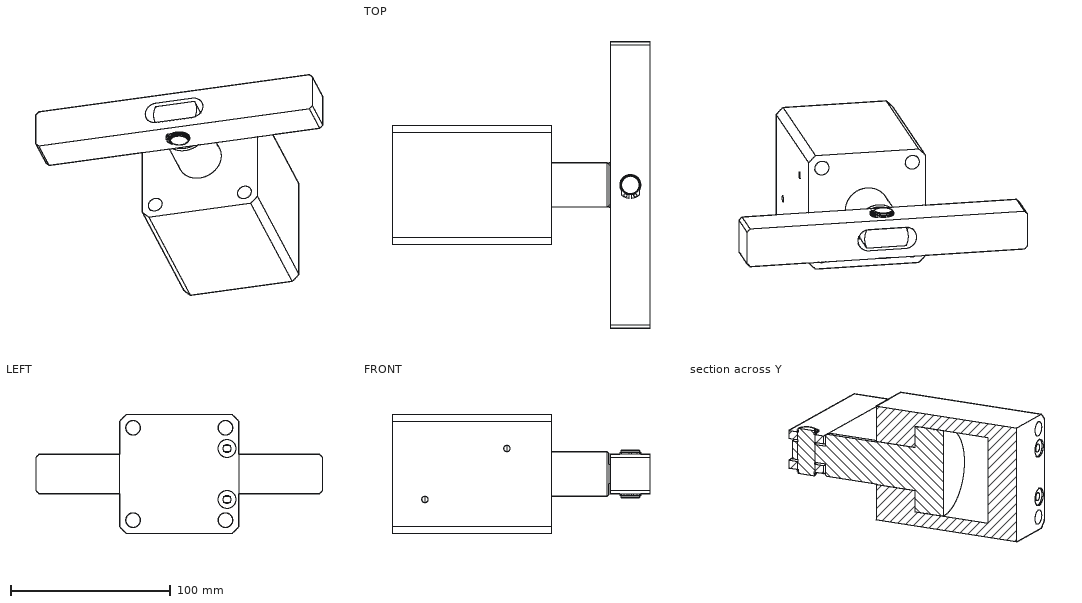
import cadquery as cq
import math

HOUSING_LENGTH = 100.0
HOUSING_SIZE = 75.0
HOUSING_CORNER_DIAMETER = 100.0
MOUNT_HOLE_DIAMETER = 9.0
MOUNT_HOLE_SPACING = 58.0
PORT_DIAMETER = 5.0
PORT_Y = -30.0
PORT_Z = 16.0
SPOTFACE_DIAMETER = 11.2
SPOTFACE_DEPTH = 1.0
SIDE_HOLE_DIAMETER = 4.0
SIDE_HOLE_DEPTH = 18.0
UPPER_SIDE_HOLE_X = 72.0
LOWER_SIDE_HOLE_X = 20.5

CHAMBER_DIAMETER = 56.0
CHAMBER_LENGTH = UPPER_SIDE_HOLE_X - LOWER_SIDE_HOLE_X

PISTON_LENGTH = 20.0
ROD_DIAMETER = 28.0
ROD_SHOULDER_X = 136.0
ROD_CHAMFER = 1.0
TONGUE_THICKNESS = 12.0
TONGUE_OVERHANG = 10.0

BAR_GAP = 1.0
BAR_SIZE = 25.0
BAR_LENGTH = 180.0
BAR_CHAMFER = 2.0
SLOT_LENGTH = 37.5
SLOT_HEIGHT = 14.0

PIN_DIAMETER = 12.0
PIN_LENGTH = 30.0
PIN_CHAMFER = 0.5
GROOVE_DIAMETER = 11.5
RING_THICKNESS = 1.0
RING_RADIUS = 6.6
RING_EAR_RADIUS = 8.4
RING_EAR_HALF_WIDTH = 5.6
RING_EAR_START = 3.3
RING_GAP = 1.7
RING_EYE_DIAMETER = 2.0
RING_EYE_X = 3.1
RING_EYE_DISTANCE = 7.2

BAR_X = ROD_SHOULDER_X + BAR_GAP
PIVOT_X = BAR_X + BAR_SIZE / 2
PISTON_X = UPPER_SIDE_HOLE_X - PISTON_LENGTH


def cylinder_x(diameter, start, length, y=0.0, z=0.0):
    """A cylinder along +X from the given start."""
    circle = cq.Workplane("YZ", origin=(start, y, z)).circle(diameter / 2)
    return circle.extrude(length)


def cylinder_z(diameter, bottom, height, x, y=0.0):
    """A cylinder along +Z from the given bottom height."""
    circle = cq.Workplane("XY", origin=(x, y, bottom)).circle(diameter / 2)
    return circle.extrude(height)


def block(x_start, x_length, y_size, z_size):
    """A box that is centred on the X axis."""
    box = cq.Workplane("XY").box(x_length, y_size, z_size, centered=(False, True, True))
    return box.translate((x_start, 0, 0))


def make_housing():
    body = block(0, HOUSING_LENGTH, HOUSING_SIZE, HOUSING_SIZE)
    body = body.intersect(cylinder_x(HOUSING_CORNER_DIAMETER, 0, HOUSING_LENGTH))

    for y_side in (-1, 1):
        for z_side in (-1, 1):
            y = y_side * MOUNT_HOLE_SPACING / 2
            z = z_side * MOUNT_HOLE_SPACING / 2
            body = body.cut(cylinder_x(MOUNT_HOLE_DIAMETER, 0, HOUSING_LENGTH, y, z))

    for z, side_hole_x in ((PORT_Z, UPPER_SIDE_HOLE_X), (-PORT_Z, LOWER_SIDE_HOLE_X)):
        body = body.cut(cylinder_x(SPOTFACE_DIAMETER, 0, SPOTFACE_DEPTH, PORT_Y, z))
        body = body.cut(cylinder_x(PORT_DIAMETER, 0, side_hole_x, PORT_Y, z))
        side_start = (side_hole_x, -HOUSING_SIZE / 2, z)
        side_circle = cq.Workplane("XZ", origin=side_start).circle(SIDE_HOLE_DIAMETER / 2)
        body = body.cut(side_circle.extrude(-SIDE_HOLE_DEPTH))

    body = body.cut(cylinder_x(CHAMBER_DIAMETER, LOWER_SIDE_HOLE_X, CHAMBER_LENGTH))
    rod_bore_length = HOUSING_LENGTH - UPPER_SIDE_HOLE_X
    return body.cut(cylinder_x(ROD_DIAMETER, UPPER_SIDE_HOLE_X, rod_bore_length))


def make_rod():
    piston = cylinder_x(CHAMBER_DIAMETER, PISTON_X, PISTON_LENGTH)
    shaft = cylinder_x(ROD_DIAMETER, UPPER_SIDE_HOLE_X, ROD_SHOULDER_X - UPPER_SIDE_HOLE_X)
    shaft = shaft.faces(">X").chamfer(ROD_CHAMFER)
    tongue_length = PIVOT_X + TONGUE_OVERHANG - ROD_SHOULDER_X
    tongue = cylinder_x(ROD_DIAMETER, ROD_SHOULDER_X, tongue_length)
    tongue = tongue.intersect(block(ROD_SHOULDER_X, tongue_length, ROD_DIAMETER, TONGUE_THICKNESS))
    pin_hole = cylinder_z(PIN_DIAMETER, -PIN_LENGTH / 2, PIN_LENGTH, PIVOT_X)
    return piston.union(shaft).union(tongue).cut(pin_hole)


def make_crossbar():
    bar = block(BAR_X, BAR_SIZE, BAR_LENGTH, BAR_SIZE)
    bar = bar.faces("<Y or >Y").edges("|X").chamfer(BAR_CHAMFER)
    slot = cq.Workplane("YZ", origin=(BAR_X, 0, 0)).slot2D(SLOT_LENGTH, SLOT_HEIGHT).extrude(BAR_SIZE)
    pin_hole = cylinder_z(PIN_DIAMETER, -BAR_SIZE / 2, BAR_SIZE, PIVOT_X)
    return bar.cut(slot).cut(pin_hole)


def make_pin():
    pin = cylinder_z(PIN_DIAMETER, -PIN_LENGTH / 2, PIN_LENGTH, PIVOT_X)
    pin = pin.faces("<Z or >Z").chamfer(PIN_CHAMFER)
    for groove_bottom in ring_bottoms():
        blank = cylinder_z(PIN_DIAMETER, groove_bottom, RING_THICKNESS, PIVOT_X)
        core = cylinder_z(GROOVE_DIAMETER, groove_bottom, RING_THICKNESS, PIVOT_X)
        pin = pin.cut(blank.cut(core))
    return pin


def ring_bottoms():
    """Heights of the undersides of the upper and the lower ring, which lie on the bar."""
    return BAR_SIZE / 2, -BAR_SIZE / 2 - RING_THICKNESS


def make_ring(bottom):
    """An open retaining ring with two eared ends on its -Y side."""
    ring = cylinder_z(2 * RING_RADIUS, bottom, RING_THICKNESS, PIVOT_X)

    ear_length = RING_EAR_RADIUS - RING_EAR_START
    ear_centre = (PIVOT_X, -RING_EAR_START - ear_length / 2, bottom)
    ear_strip = cq.Workplane("XY", origin=ear_centre).rect(2 * RING_EAR_HALF_WIDTH, ear_length)
    ears = ear_strip.extrude(RING_THICKNESS)
    ears = ears.intersect(cylinder_z(2 * RING_EAR_RADIUS, bottom, RING_THICKNESS, PIVOT_X))
    ring = ring.union(ears)

    gap_centre = (PIVOT_X, -RING_EAR_RADIUS / 2, bottom)
    gap = cq.Workplane("XY", origin=gap_centre).rect(RING_GAP, RING_EAR_RADIUS).extrude(RING_THICKNESS)
    ring = ring.cut(gap).cut(cylinder_z(GROOVE_DIAMETER, bottom, RING_THICKNESS, PIVOT_X))

    eye_y = -math.sqrt(RING_EYE_DISTANCE**2 - RING_EYE_X**2)
    for side in (-1, 1):
        eye_x = PIVOT_X + side * RING_EYE_X
        ring = ring.cut(cylinder_z(RING_EYE_DIAMETER, bottom, RING_THICKNESS, eye_x, eye_y))
    return ring


housing = make_housing()
rod = make_rod()
crossbar = make_crossbar()
pin = make_pin()
rings = [make_ring(bottom) for bottom in ring_bottoms()]

result = cq.Compound.makeCompound(
    [housing.val(), rod.val(), crossbar.val(), pin.val(), *[ring.val() for ring in rings]]
)